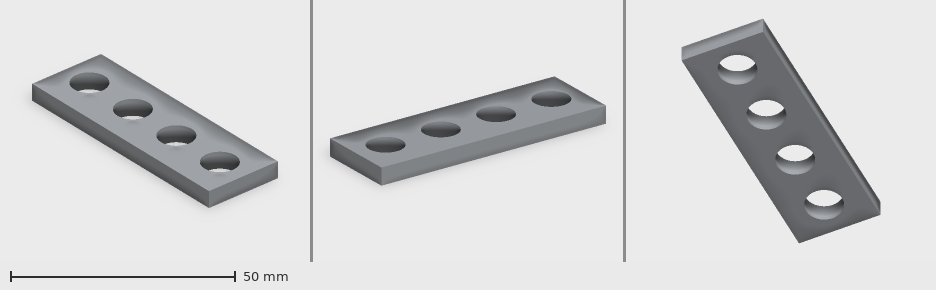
import cadquery as cq

length = 60.95
width = 20.05
thickness = 4.4

hole_count = 4
hole_diameter = 8.9
hole_pitch = 15.0
row_offset = -0.1

row_length = (hole_count - 1) * hole_pitch
first_hole_x = row_offset - row_length / 2
hole_centers = [(first_hole_x + i * hole_pitch, 0) for i in range(hole_count)]

bar = cq.Workplane("XY").box(length, width, thickness)

result = (
    bar.faces(">Z")
    .workplane()
    .pushPoints(hole_centers)
    .hole(hole_diameter)
)